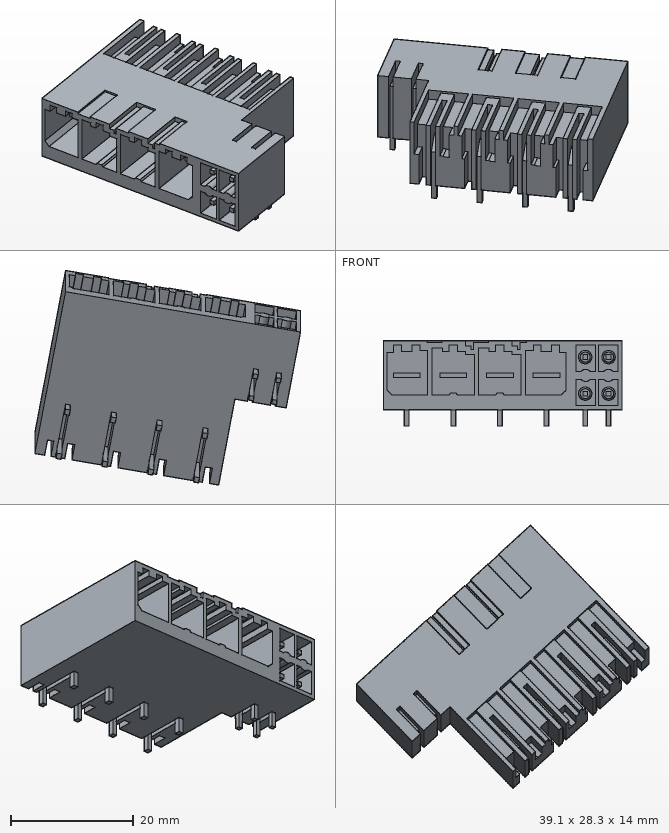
import cadquery as cq


LENGTH = 39.07
HEIGHT = 11.33
POWER_DEPTH = 28.3
POWER_LENGTH = 30.55
SIGNAL_DEPTH = 13.3
PIN_LENGTH = 2.65

POWER_PITCH = 7.6
POWER_FIRST_X = 3.83
POWER_X = [POWER_FIRST_X + POWER_PITCH * i for i in range(4)]

CAVITY_DEPTH = SIGNAL_DEPTH
CAVITY_FLOOR = 2.42
CAVITY_ROOF = 9.57
KEYWAY_ROOF = 10.6
END_OUTER_SIDE = 3.2
END_OUTER_ROOF = 9.4
END_INNER_SIDE = 3.4
END_INNER_ROOF = 9.73
END_CORNER = 0.82
END_KEYWAY_INNER = 0.85
END_KEYWAY_OUTER = 2.15
MID_LEFT_SIDE = 3.48
MID_LEFT_ROOF = 10.15
MID_LEFT_STEP = 1.75
MID_KEYWAY = 0.7
MID_RIGHT_STEP = 2.0
MID_RIGHT_ROOF = 9.03
MID_RIGHT_SIDE = 3.45
FLOOR_RIB_BASE = 0.7
FLOOR_RIB_TOP = 0.45
FLOOR_RIB_HEIGHT = 0.3

GROOVE_LENGTH = 7.85
GROOVE_FLOOR = HEIGHT - 0.3
GROOVE_DEEP_FLOOR = HEIGHT - 0.85
GROOVE_DEEPEST_FLOOR = HEIGHT - 1.45
SHALLOW_GROOVE = (7.15, 9.6)
STEPPED_GROOVE_X = 13.45
STEPPED_GROOVE_DEEP_WIDTH = 0.9
STEPPED_GROOVE_DEEPEST_WIDTH = 0.43
STEPPED_GROOVE_WIDTHS = (3.75, 2.35)

BAY_FRONT = 16.6
BAY_SIDES = [(0.85, 7.3), (8.05, 14.9), (15.63, 22.5), (23.2, 29.85)]
BAY_SHELF = 9.65
BLOCK_TOP = 10.98
BLOCK_WIDTH = 2.3
NOTCH_FRONT = 25.63
LEDGE_Z = 5.47
LEFT_LEDGE_WIDTH = 0.8
CHUTE_START = 2.7
CHUTE_FLAT = 0.43
CHUTE_ARC_WIDTH = 0.6
CHUTE_RADIUS = 1.55
RIGHT_LEDGE_START = 2.35
RIGHT_LEDGE_END = 2.8

PLATE_THICKNESS = 0.82
PLATE_FRONT = 19.03
PLATE_REAR = 27.65
PLATE_STEP_Y = 21.5
PLATE_TOP = 7.8
PLATE_SLOPE_Y = 25.45
PLATE_REAR_TOP = 5.85
POWER_PIN_DEPTH = 0.95
BLADE_TIP_Y = 5.65
BLADE_WIDTH = 4.38
BLADE_BOTTOM = 5.27
BLADE_TOP = 6.0

SIGNAL_SIZE = 0.8
SIGNAL_X = [33.0, 36.85]
SIGNAL_TIP_Y = 1.17
LOWER_PIN_Y = 7.97
UPPER_PIN_Y = 11.8
LOWER_Z = 2.65
UPPER_Z = 8.65

SIGNAL_CAVITY_DEPTH = 7.05
SIGNAL_CAVITY_WIDTH = 3.15
SIGNAL_CAVITY_X = [33.1, 36.8]
LOWER_CAVITY = (0.7, 5.0)
UPPER_CAVITY = (6.3, 10.6)
RIB_HALF_WIDTH = 0.75
RIB_HEIGHT = 0.35
COLLAR_BASE_RADIUS = 1.1
COLLAR_TIP_RADIUS = 0.82
COLLAR_LENGTH = 0.27


def block(x, y, z):
    """A box from three (low, high) ranges."""
    corner = cq.Workplane("XY", origin=(x[0], y[0], z[0]))
    return corner.box(x[1] - x[0], y[1] - y[0], z[1] - z[0], centered=False)


def around(centre, width):
    """The range of a given width about a centre."""
    return (centre - width / 2, centre + width / 2)


def extrude_to_rear(outline, depth):
    """Close an XZ outline and extrude it toward the rear (+Y)."""
    return outline.close().extrude(-depth)



def end_cavity(centre, inward):
    """Outermost power cavity; inward is +1 or -1, the X direction of its neighbour."""
    points = [
        (-END_OUTER_SIDE, CAVITY_FLOOR + END_CORNER),
        (-END_OUTER_SIDE, END_OUTER_ROOF),
        (-END_KEYWAY_OUTER, END_OUTER_ROOF),
        (-END_KEYWAY_OUTER, KEYWAY_ROOF),
        (-END_KEYWAY_INNER, KEYWAY_ROOF),
        (-END_KEYWAY_INNER, CAVITY_ROOF),
        (END_KEYWAY_INNER, CAVITY_ROOF),
        (END_KEYWAY_INNER, KEYWAY_ROOF),
        (END_KEYWAY_OUTER, KEYWAY_ROOF),
        (END_KEYWAY_OUTER, END_INNER_ROOF),
        (END_INNER_SIDE, END_INNER_ROOF),
        (END_INNER_SIDE, CAVITY_FLOOR),
        (-END_OUTER_SIDE + END_CORNER, CAVITY_FLOOR),
    ]
    outline = cq.Workplane("XZ").polyline([(centre + inward * x, z) for x, z in points])
    return extrude_to_rear(outline, CAVITY_DEPTH)


def middle_cavity(centre):
    """Inner power cavity with one keyway and a rib on its floor."""
    points = [
        (-MID_LEFT_SIDE, CAVITY_FLOOR),
        (-MID_LEFT_SIDE, MID_LEFT_ROOF),
        (-MID_LEFT_STEP, MID_LEFT_ROOF),
        (-MID_LEFT_STEP, CAVITY_ROOF),
        (-MID_KEYWAY, CAVITY_ROOF),
        (-MID_KEYWAY, KEYWAY_ROOF),
        (MID_KEYWAY, KEYWAY_ROOF),
        (MID_KEYWAY, CAVITY_ROOF),
        (MID_RIGHT_STEP, CAVITY_ROOF),
        (MID_RIGHT_STEP, MID_RIGHT_ROOF),
        (MID_RIGHT_SIDE, MID_RIGHT_ROOF),
        (MID_RIGHT_SIDE, CAVITY_FLOOR),
        (FLOOR_RIB_BASE, CAVITY_FLOOR),
        (FLOOR_RIB_TOP, CAVITY_FLOOR + FLOOR_RIB_HEIGHT),
        (-FLOOR_RIB_TOP, CAVITY_FLOOR + FLOOR_RIB_HEIGHT),
        (-FLOOR_RIB_BASE, CAVITY_FLOOR),
    ]
    outline = cq.Workplane("XZ").polyline([(centre + x, z) for x, z in points])
    return extrude_to_rear(outline, CAVITY_DEPTH)


def coding_grooves():
    """One shallow groove and two stepped grooves, open at the mating face."""
    length = (0, GROOVE_LENGTH)
    grooves = block(SHALLOW_GROOVE, length, (GROOVE_FLOOR, HEIGHT))
    for i, width in enumerate(STEPPED_GROOVE_WIDTHS):
        left = STEPPED_GROOVE_X + POWER_PITCH * i
        middle = left + STEPPED_GROOVE_DEEP_WIDTH
        shallow = middle + STEPPED_GROOVE_DEEPEST_WIDTH
        grooves = (
            grooves.union(block((left, middle), length, (GROOVE_DEEP_FLOOR, HEIGHT)))
            .union(block((middle, shallow), length, (GROOVE_DEEPEST_FLOOR, HEIGHT)))
            .union(block((shallow, left + width), length, (GROOVE_FLOOR, HEIGHT)))
        )
    return grooves


def chute(start, end):
    """Notch whose floor has a flat, a stretch that curves upward and a second flat."""
    arc_start = start + CHUTE_FLAT
    arc_end = arc_start + CHUTE_ARC_WIDTH
    arc_rise = CHUTE_RADIUS - (CHUTE_RADIUS**2 - CHUTE_ARC_WIDTH**2) ** 0.5
    outline = (
        cq.Workplane("XZ", origin=(0, NOTCH_FRONT, 0))
        .moveTo(start, BAY_SHELF)
        .lineTo(start, LEDGE_Z)
        .lineTo(arc_start, LEDGE_Z)
        .radiusArc((arc_end, LEDGE_Z + arc_rise), -CHUTE_RADIUS)
        .lineTo(end, LEDGE_Z + arc_rise)
        .lineTo(end, BAY_SHELF)
    )
    return extrude_to_rear(outline, POWER_DEPTH - NOTCH_FRONT)


def rear_bay(index):
    """Recess open to the top and rear, around the block that holds a power contact."""
    centre = POWER_X[index]
    left, right = BAY_SIDES[index]
    block_left, block_right = around(centre, BLOCK_WIDTH)
    bay = (BAY_FRONT, POWER_DEPTH)
    notch = (NOTCH_FRONT, POWER_DEPTH)

    recess = block((left, right), bay, (BAY_SHELF, HEIGHT)).cut(
        block((block_left, block_right), bay, (BAY_SHELF, BLOCK_TOP))
    )

    if index == 0:
        ledge_end = left + LEFT_LEDGE_WIDTH
        recess = recess.union(block((left, block_left), notch, (LEDGE_Z, BAY_SHELF)))
        recess = recess.union(block((ledge_end, block_left), notch, (0, BAY_SHELF)))
    else:
        recess = recess.union(chute(centre - CHUTE_START, block_left))

    ledge_start = centre + RIGHT_LEDGE_START
    ledge_end = right if index == len(POWER_X) - 1 else centre + RIGHT_LEDGE_END
    recess = recess.union(block((block_right, ledge_end), notch, (LEDGE_Z, BAY_SHELF)))
    recess = recess.union(block((block_right, ledge_start), notch, (0, BAY_SHELF)))
    return recess


def power_contact_opening(centre):
    """Slot for the contact plate and hole for its blade."""
    slot = block(around(centre, PLATE_THICKNESS), (PLATE_FRONT, POWER_DEPTH), (0, HEIGHT))
    hole = block(around(centre, BLADE_WIDTH), (CAVITY_DEPTH, PLATE_FRONT), (BLADE_BOTTOM, BLADE_TOP))
    return slot.union(hole)


def signal_cavity(centre, z_range, rib_edge, rib_direction):
    """Rectangular cavity with a rounded rib along one edge, at height rib_edge."""
    cavity = block(around(centre, SIGNAL_CAVITY_WIDTH), (0, SIGNAL_CAVITY_DEPTH), z_range)
    rib = extrude_to_rear(
        cq.Workplane("XZ")
        .moveTo(centre - RIB_HALF_WIDTH, rib_edge)
        .threePointArc(
            (centre, rib_edge + rib_direction * RIB_HEIGHT),
            (centre + RIB_HALF_WIDTH, rib_edge),
        ),
        SIGNAL_CAVITY_DEPTH,
    )
    return cavity.cut(rib)


def collar(centre, z):
    """Cone standing on the back wall of a signal cavity."""
    return cq.Workplane(
        cq.Solid.makeCone(
            COLLAR_BASE_RADIUS,
            COLLAR_TIP_RADIUS,
            COLLAR_LENGTH,
            pnt=cq.Vector(centre, SIGNAL_CAVITY_DEPTH, z),
            dir=cq.Vector(0, -1, 0),
        )
    )


def signal_contact_openings(centre):
    """Slot shared by the upper and lower contact, and their holes into the cavities."""
    width = around(centre, SIGNAL_SIZE)
    slot_front = LOWER_PIN_Y - SIGNAL_SIZE / 2
    openings = block(width, (slot_front, SIGNAL_DEPTH), (0, HEIGHT))
    for z in (LOWER_Z, UPPER_Z):
        openings = openings.union(block(width, (SIGNAL_TIP_Y, slot_front), around(z, SIGNAL_SIZE)))
    return openings


def make_housing():
    body = block((0, POWER_LENGTH), (0, POWER_DEPTH), (0, HEIGHT)).union(
        block((POWER_LENGTH, LENGTH), (0, SIGNAL_DEPTH), (0, HEIGHT))
    )
    body = body.cut(end_cavity(POWER_X[0], 1)).cut(end_cavity(POWER_X[-1], -1))
    for centre in POWER_X[1:-1]:
        body = body.cut(middle_cavity(centre))
    body = body.cut(coding_grooves())
    for index, centre in enumerate(POWER_X):
        body = body.cut(rear_bay(index)).cut(power_contact_opening(centre))
    for centre in SIGNAL_CAVITY_X:
        body = body.cut(signal_cavity(centre, LOWER_CAVITY, LOWER_CAVITY[1], -1))
        body = body.cut(signal_cavity(centre, UPPER_CAVITY, UPPER_CAVITY[0], 1))
    for centre in SIGNAL_X:
        body = body.union(collar(centre, LOWER_Z)).union(collar(centre, UPPER_Z))
        body = body.cut(signal_contact_openings(centre))
    return body



def make_power_contact(centre):
    """Flat mating blade joined to an upright plate that ends in two solder pins."""
    plate = (
        cq.Workplane("YZ", origin=(centre - PLATE_THICKNESS / 2, 0, 0))
        .polyline([
            (PLATE_FRONT, -PIN_LENGTH),
            (PLATE_FRONT, BLADE_TOP),
            (PLATE_STEP_Y, BLADE_TOP),
            (PLATE_STEP_Y, PLATE_TOP),
            (PLATE_SLOPE_Y, PLATE_TOP),
            (PLATE_REAR, PLATE_REAR_TOP),
            (PLATE_REAR, -PIN_LENGTH),
            (PLATE_REAR - POWER_PIN_DEPTH, -PIN_LENGTH),
            (PLATE_REAR - POWER_PIN_DEPTH, BLADE_BOTTOM),
            (PLATE_FRONT + POWER_PIN_DEPTH, BLADE_BOTTOM),
            (PLATE_FRONT + POWER_PIN_DEPTH, -PIN_LENGTH),
        ])
        .close()
        .extrude(PLATE_THICKNESS)
    )
    blade = block(around(centre, BLADE_WIDTH), (BLADE_TIP_Y, PLATE_FRONT), (BLADE_BOTTOM, BLADE_TOP))
    return plate.union(blade)


def make_signal_contact(centre, z, pin_y):
    """Square bar bent down into a solder pin."""
    width = around(centre, SIGNAL_SIZE)
    top = z + SIGNAL_SIZE / 2
    bar = block(width, (SIGNAL_TIP_Y, pin_y + SIGNAL_SIZE / 2), around(z, SIGNAL_SIZE))
    pin = block(width, around(pin_y, SIGNAL_SIZE), (-PIN_LENGTH, top))
    return bar.union(pin)


housing = make_housing()
power_contacts = [make_power_contact(centre) for centre in POWER_X]
signal_contacts = []
for centre in SIGNAL_X:
    signal_contacts.append(make_signal_contact(centre, LOWER_Z, LOWER_PIN_Y))
    signal_contacts.append(make_signal_contact(centre, UPPER_Z, UPPER_PIN_Y))

bodies = [housing] + power_contacts + signal_contacts
result = cq.Compound.makeCompound([body.val() for body in bodies])